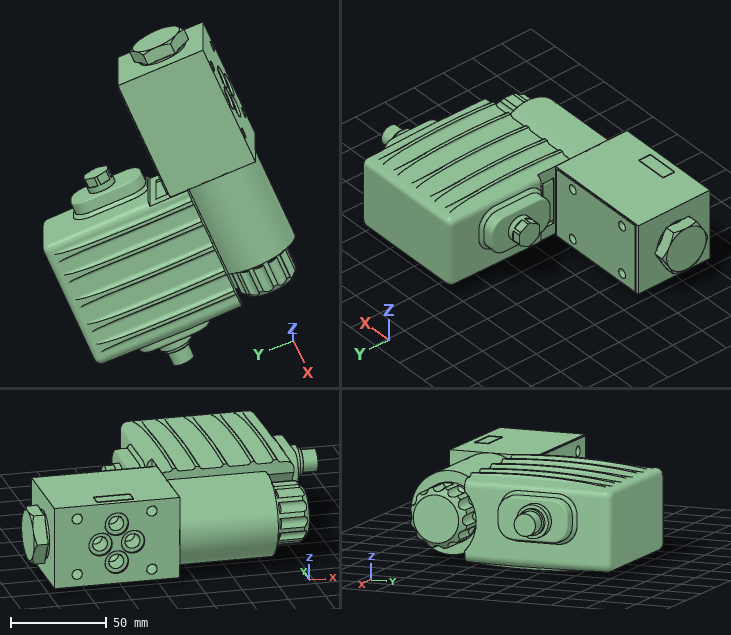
import cadquery as cq
import math


overall_depth = 122.5
overall_height = 50.51
spool_axis_y = 23.25

block_length = 68.0
block_depth = 49.0
block_height = 45.0
plate_inset = 2.0
plate_height = 44.0
plate_thickness = 0.8

mount_dia = 5.5
mount_left_x = 12.4
mount_pitch = 40.5
mount_left_z = 15.5
mount_right_z = 16.25

port_dia = 8.0
port_depth = 12.0
port_point_angle = 118.0
port_seat_dia = 12.6
port_seat_depth = 1.3
port_centre_x = 33.9
port_offset_x = 8.8
port_offset_z = 10.6

label_size = (19.8, 7.8)
label_centre = (34.1, 8.0)
label_depth = 0.3

plug_flats = 27.0
plug_length = 8.5
plug_neck_length = 1.3
plug_neck_dia = 26.2
plug_chamfer_angle = 30.0

coil_dia = 45.0
coil_end_x = 121.6
knob_radius = 16.4
knob_end_x = 141.0
knob_collar_length = 2.4
knob_end_chamfer = 3.5
flute_count = 12
flute_radius = 3.4
flute_depth = 2.0
flute_entry_length = 1.5

housing_left_x = 65.6
housing_right_x = 140.3
housing_height = 45.7
housing_bottom_y = 39.1
parting_y = 70.3
housing_draft = 0.75
housing_side_radius = 4.8
housing_end_radius = 3.8
step_x = 68.4
step_y = 60.7

rib_positions = (75.1, 87.6, 102.7, 117.6, 129.8)
rib_width = 2.0
rib_root_radius = 2.2
rib_root_embed = 0.5
rib_runout_y = 118.4
rib_runout_z = 22.2

window_height = 29.4
window_bottom_y = 49.8
window_top_y = 57.3
window_depth = 3.3
bar_height = 3.0
bar_edge_radius = 2.95

boss_y = 81.4
boss_z = 5.1
boss_length = 40.2
boss_height = 23.3
boss_corner_radius = 9.0
boss_left_x = 56.8
boss_right_x = 148.2
boss_edge_radius = 1.2
boss_foot_flare = 1.9

fitting_y = 83.1
screw_collar_dia = 14.9
screw_collar_end_x = 53.4
screw_flats = 13.6
screw_end_x = 48.4
connector_steps = ((18.1, 152.4), (14.2, 154.5), (12.1, 162.7))


def box(x0, x1, y0, y1, z0, z1):
    """Axis-aligned box between two corners."""
    return cq.Workplane("XY").box(x1 - x0, y1 - y0, z1 - z0, centered=False).translate((x0, y0, z0))


def x_plane(x, y, z):
    """Workplane facing +X with its local axes along Y and Z."""
    return cq.Workplane("YZ", origin=(x, y, z))


def x_cylinder(diameter, x0, x1, y, z):
    return x_plane(x0, y, z).circle(diameter / 2).extrude(x1 - x0)


def hexagon_across_corners(flats):
    return flats / math.cos(math.radians(30))


def make_block():
    half = block_height / 2
    block = box(0, block_length, 0, block_depth, -half, half)
    plate = box(
        plate_inset, block_length - plate_inset,
        block_depth, block_depth + plate_thickness,
        -plate_height / 2, plate_height / 2,
    )
    label = (
        cq.Workplane("XY", origin=(*label_centre, half - label_depth))
        .rect(*label_size)
        .extrude(label_depth)
    )
    return block.union(plate).cut(label)


def make_mounting_holes():
    right_x = mount_left_x + mount_pitch
    centres = [
        (x, sign * z)
        for x, z in ((mount_left_x, mount_left_z), (right_x, mount_right_z))
        for sign in (1, -1)
    ]
    depth = block_depth + plate_thickness
    return cq.Workplane("XZ").pushPoints(centres).circle(mount_dia / 2).extrude(-depth)


def make_port(x, z):
    """Seat, drilled bore and drill point, turned about the port axis."""
    bore_radius = port_dia / 2
    point_length = bore_radius / math.tan(math.radians(port_point_angle / 2))
    return (
        cq.Workplane("XY")
        .moveTo(0, 0)
        .lineTo(port_seat_dia / 2, 0)
        .lineTo(port_seat_dia / 2, port_seat_depth)
        .lineTo(bore_radius, port_seat_depth)
        .lineTo(bore_radius, port_depth)
        .lineTo(0, port_depth + point_length)
        .close()
        .revolve(360, (0, 0, 0), (0, 1, 0))
        .translate((x, 0, z))
    )


def make_plug():
    corners = hexagon_across_corners(plug_flats)
    head = (
        x_plane(-plug_length, spool_axis_y, 0)
        .polygon(6, corners)
        .extrude(plug_length - plug_neck_length)
    )
    flat_radius = plug_flats / 2
    cone_spread = plug_length * math.tan(math.radians(90 - plug_chamfer_angle))
    trim = (
        cq.Workplane("XY")
        .moveTo(-plug_length, 0)
        .lineTo(-plug_length, flat_radius)
        .lineTo(0, flat_radius + cone_spread)
        .lineTo(0, 0)
        .close()
        .revolve(360, (0, 0, 0), (1, 0, 0))
        .translate((0, spool_axis_y, 0))
    )
    neck = x_cylinder(plug_neck_dia, -plug_neck_length, 0, spool_axis_y, 0)
    return head.intersect(trim).union(neck)


def make_coil():
    return x_cylinder(coil_dia, block_length, coil_end_x, spool_axis_y, 0)


def make_flute_cutter():
    """Round-bottomed cutter for the flute on the -Y side, with a sloping entry at its coil end."""
    start_x = coil_end_x + knob_collar_length
    rim_y = spool_axis_y - knob_radius
    floor_y = rim_y + flute_depth
    cutter_y = floor_y - flute_radius
    cutter = x_cylinder(2 * flute_radius, start_x, knob_end_x, cutter_y, 0)
    side_profile = (
        cq.Workplane("XY")
        .moveTo(start_x, cutter_y)
        .lineTo(start_x, rim_y)
        .lineTo(start_x + flute_entry_length, floor_y)
        .lineTo(knob_end_x, floor_y)
        .lineTo(knob_end_x, cutter_y)
        .close()
        .extrude(flute_radius, both=True)
    )
    return cutter.intersect(side_profile)


def make_knob():
    knob = x_cylinder(2 * knob_radius, coil_end_x, knob_end_x, spool_axis_y, 0)
    knob = knob.faces(">X").edges().chamfer(knob_end_chamfer)
    cutter = make_flute_cutter()
    for i in range(flute_count):
        angle = i * 360 / flute_count
        knob = knob.cut(cutter.rotate((0, spool_axis_y, 0), (1, spool_axis_y, 0), angle))
    return knob


def make_housing_half(end_y):
    """Tapered prism from the parting plane to end_y."""
    centre_x = (housing_left_x + housing_right_x) / 2
    normal_y = math.copysign(1, end_y - parting_y)
    plane = cq.Plane(origin=(centre_x, parting_y, 0), xDir=(1, 0, 0), normal=(0, normal_y, 0))
    outline = (
        cq.Sketch()
        .rect(housing_right_x - housing_left_x, housing_height)
        .vertices()
        .fillet(housing_side_radius)
    )
    return cq.Workplane(plane).placeSketch(outline).extrude(abs(end_y - parting_y), taper=housing_draft)


def make_rib(x, end_y):
    """Rib with hollow-rounded roots, following the draft from the parting plane to end_y."""
    root_z = housing_height / 2
    crest_z = overall_height / 2 + rib_root_radius
    half = rib_width / 2
    root_half = half + rib_root_radius
    arc_top_z = root_z + rib_root_radius
    arc_offset = rib_root_radius * (1 - math.sqrt(0.5))
    section = (
        cq.Workplane("XZ", origin=(x, parting_y, 0))
        .moveTo(-root_half, root_z - rib_root_embed)
        .lineTo(root_half, root_z - rib_root_embed)
        .lineTo(root_half, root_z)
        .threePointArc((half + arc_offset, root_z + arc_offset), (half, arc_top_z))
        .lineTo(half, crest_z)
        .lineTo(-half, crest_z)
        .lineTo(-half, arc_top_z)
        .threePointArc((-half - arc_offset, root_z + arc_offset), (-root_half, root_z))
        .close()
    )
    length = end_y - parting_y
    drop = abs(length) * math.tan(math.radians(housing_draft))
    return cq.Solid.extrudeLinear(section.wire().val(), [], cq.Vector(0, length, -drop))


def make_ribs():
    """Ribs on the upper face, cut to an arched crest that peaks above the parting plane."""
    crest_z = overall_height / 2
    arch_half_span = rib_runout_y - parting_y
    arch_rise = crest_z - rib_runout_z
    arch_radius = (arch_half_span**2 + arch_rise**2) / (2 * arch_rise)
    bottom_z = crest_z - arch_radius + math.sqrt(arch_radius**2 - (parting_y - housing_bottom_y) ** 2)
    ribs = cq.Workplane("XY")
    for x in rib_positions:
        ribs = ribs.add(make_rib(x, housing_bottom_y))
        ribs = ribs.add(make_rib(x, rib_runout_y))
    crest = (
        x_plane(housing_left_x, 0, 0)
        .moveTo(housing_bottom_y, 0)
        .lineTo(housing_bottom_y, bottom_z)
        .threePointArc((parting_y, crest_z), (rib_runout_y, rib_runout_z))
        .lineTo(rib_runout_y, 0)
        .close()
        .extrude(housing_right_x - housing_left_x)
    )
    return ribs.combine().intersect(crest)


def make_window():
    """Pocket around a bar whose long edges are rounded; the bar lies just below the wall."""
    half = window_height / 2
    floor_x = step_x + window_depth
    pocket = box(step_x, floor_x, window_bottom_y, window_top_y, -half, half)
    bar_x = floor_x - bar_height
    bar = box(bar_x, floor_x, window_bottom_y, window_top_y, -half, half)
    bar = bar.faces("<X").edges("|Y").fillet(bar_edge_radius)
    return pocket.cut(bar)


def boss_outline(growth):
    return (
        cq.Sketch()
        .rect(boss_length + 2 * growth, boss_height + 2 * growth)
        .vertices()
        .fillet(boss_corner_radius + growth)
    )


def make_boss(outer_x, wall_x):
    """Rounded boss from inside the housing wall to outer_x, with a flared foot at the wall."""
    inward = math.copysign(boss_foot_flare, wall_x - outer_x)
    root_x = wall_x + inward
    outer_side = "<X" if outer_x < wall_x else ">X"
    boss = x_plane(root_x, boss_y, boss_z).placeSketch(boss_outline(0)).extrude(outer_x - root_x)
    boss = boss.faces(outer_side).edges().fillet(boss_edge_radius)
    foot = (
        x_plane(wall_x, boss_y, boss_z)
        .placeSketch(boss_outline(boss_foot_flare), boss_outline(0).moved(cq.Location((0, 0, -inward))))
        .loft()
    )
    return boss.union(foot)


def make_housing():
    """Drafted shell with ribs and side bosses, stepped clear of the block and bored for the coil."""
    half = overall_height / 2
    far_half = make_housing_half(overall_depth).faces(">Y").edges().fillet(housing_end_radius)
    ribs = make_ribs()
    housing = (
        make_housing_half(housing_bottom_y)
        .union(far_half)
        .union(ribs)
        .union(ribs.mirror("XY"))
        .union(make_boss(boss_left_x, housing_left_x))
        .union(make_boss(boss_right_x, housing_right_x))
    )
    step = box(boss_left_x, step_x, housing_bottom_y, step_y, -half, half)
    coil_clearance = x_cylinder(coil_dia, housing_left_x, housing_right_x, spool_axis_y, 0)
    return housing.cut(step).cut(coil_clearance).cut(make_window())


def make_screw():
    collar = x_cylinder(screw_collar_dia, screw_collar_end_x, boss_left_x, fitting_y, boss_z)
    head_length = screw_collar_end_x - screw_end_x
    head = (
        x_plane(screw_end_x, fitting_y, boss_z)
        .transformed(rotate=(0, 0, 90))
        .polygon(6, hexagon_across_corners(screw_flats))
        .extrude(head_length)
    )
    rounding = x_cylinder(screw_collar_dia, screw_end_x, screw_collar_end_x, fitting_y, boss_z)
    return collar.union(head.intersect(rounding))


def make_connector():
    connector = cq.Workplane("XY")
    start_x = boss_right_x
    for diameter, end_x in connector_steps:
        connector = connector.add(x_cylinder(diameter, start_x, end_x, fitting_y, boss_z))
        start_x = end_x
    return connector.combine()


ports = (
    (port_centre_x - port_offset_x, 0),
    (port_centre_x + port_offset_x, 0),
    (port_centre_x, port_offset_z),
    (port_centre_x, -port_offset_z),
)

block = make_block().cut(make_mounting_holes())
for port_x, port_z in ports:
    block = block.cut(make_port(port_x, port_z))

result = (
    block
    .union(make_plug())
    .union(make_coil())
    .union(make_knob())
    .union(make_housing())
    .union(make_screw())
    .union(make_connector())
)